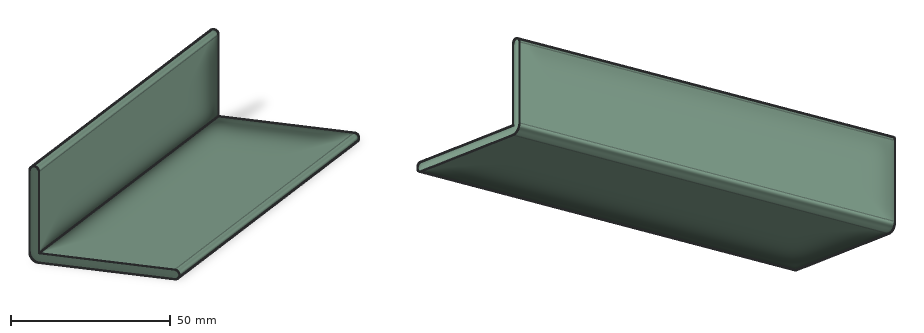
import cadquery as cq

length = 152.4
base_width = 50.7
wall_height = 31.7
thickness = 3.2
tip_radius = thickness / 2
heel_radius = 3.2

profile = (
    cq.Workplane("XZ")
    .moveTo(heel_radius, 0)
    .lineTo(base_width - tip_radius, 0)
    .threePointArc((base_width, tip_radius), (base_width - tip_radius, thickness))
    .lineTo(thickness, thickness)
    .lineTo(thickness, wall_height - tip_radius)
    .threePointArc((tip_radius, wall_height), (0, wall_height - tip_radius))
    .lineTo(0, heel_radius)
    .radiusArc((heel_radius, 0), -heel_radius)
    .close()
)

result = profile.extrude(length)